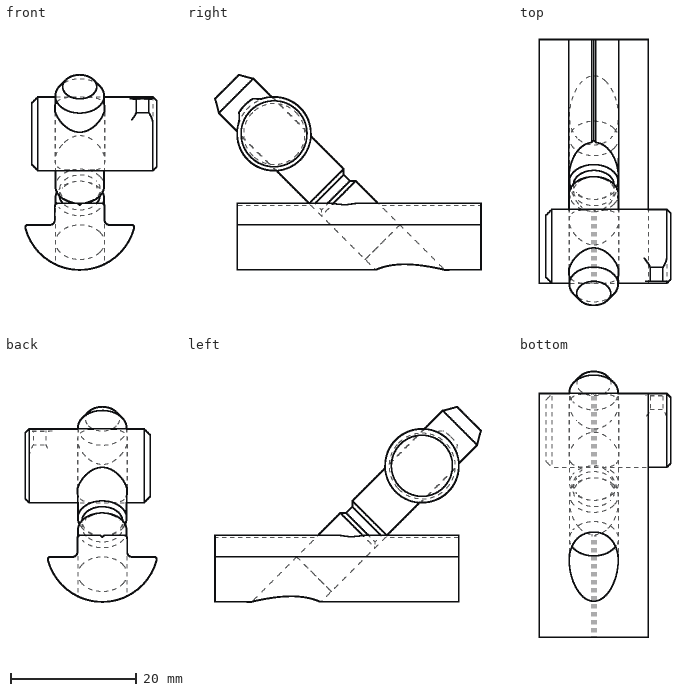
import cadquery as cq
import math

rail_length = 38.97
rail_height = 10.65
shoulder_height = 7.22
web_width = 8.0
belly_radius = 9.0
shoulder_round = 0.42
web_root_fillet = 0.72
web_top_fillet = 0.5
mark_half_width = 0.35
mark_depth = 0.3

barrel_diameter = 11.8
barrel_start = -7.7
barrel_length = 20.0
barrel_height = 21.75
start_chamfer = 1.0
end_chamfer = 0.65
barrel_radius = barrel_diameter / 2
barrel_end = barrel_start + barrel_length
barrel_y = barrel_radius

lug_rise = 0.65
lug_top_half_angle = 14
lug_base_half_angle = 30
lug_top_start = 9.05
lug_base_start = 7.78

screw_tilt = 45
screw_diameter = 7.8
barrel_bore_diameter = 8.0
neck_diameter = 6.5
tip_diameter = 5.45
tip_station = 10.62
tip_taper_station = 8.6
neck_top_station = -12.5
neck_bottom_station = -13.9
anchor_bottom_station = -24.45
bore_reach = 38.25

screw_radius = screw_diameter / 2
neck_radius = neck_diameter / 2
neck_chamfer = screw_radius - neck_radius
joint_station = neck_top_station + neck_chamfer


def tilt_to_screw_axis(shape):
    """Move a shape built along Z about the origin onto the screw axis."""
    tilted = shape.rotate((0, 0, 0), (1, 0, 0), screw_tilt)
    return tilted.translate((0, barrel_y, barrel_height))


def make_bore(diameter, bottom, top):
    """Cutting cylinder along the screw axis between two stations."""
    cylinder = cq.Workplane("XY").workplane(offset=bottom).circle(diameter / 2).extrude(top - bottom)
    return tilt_to_screw_axis(cylinder)


def make_rail():
    half_web = web_width / 2
    tip_x = math.sqrt(belly_radius**2 - (belly_radius - shoulder_height) ** 2)
    rail = (
        cq.Workplane("XZ")
        .moveTo(-tip_x, shoulder_height)
        .threePointArc((0, 0), (tip_x, shoulder_height))
        .lineTo(half_web, shoulder_height)
        .lineTo(half_web, rail_height)
        .lineTo(mark_half_width, rail_height)
        .lineTo(0, rail_height - mark_depth)
        .lineTo(-mark_half_width, rail_height)
        .lineTo(-half_web, rail_height)
        .lineTo(-half_web, shoulder_height)
        .close()
        .extrude(-rail_length)
    )
    middle = rail_length / 2
    for side in (-1, 1):
        for x, z, radius in (
            (tip_x, shoulder_height, shoulder_round),
            (half_web, shoulder_height, web_root_fillet),
            (half_web, rail_height, web_top_fillet),
        ):
            edge = cq.selectors.NearestToPointSelector((side * x, middle, z))
            rail = rail.edges("|Y").edges(edge).fillet(radius)
    return rail.cut(make_bore(screw_diameter, -bore_reach, 0))


def polar_point(radius, angle):
    """Point in the YZ plane at an angle from +Z, turning toward +Y."""
    turn = math.radians(angle)
    return (radius * math.sin(turn), radius * math.cos(turn))


def make_lug():
    """Lug with concave flanks that run out tangent to the barrel surface."""
    top_radius = barrel_radius + lug_rise
    root_radius = barrel_radius / 2

    flank_run = lug_top_start - lug_base_start
    flank_radius = (flank_run**2 + lug_rise**2) / (2 * lug_rise)
    flank_angle = math.asin(flank_run / flank_radius) / 2
    flank_middle = (
        lug_base_start + flank_radius * math.sin(flank_angle),
        barrel_radius + flank_radius * (1 - math.cos(flank_angle)),
    )
    turned = (
        cq.Workplane("XZ")
        .moveTo(lug_base_start, root_radius)
        .lineTo(lug_base_start, barrel_radius)
        .threePointArc(flank_middle, (lug_top_start, top_radius))
        .lineTo(barrel_end, top_radius)
        .lineTo(barrel_end, root_radius)
        .close()
        .revolve(360, (0, 0, 0), (1, 0, 0))
    )

    base_right = polar_point(barrel_radius, lug_base_half_angle)
    base_left = polar_point(barrel_radius, -lug_base_half_angle)
    top_right = polar_point(top_radius, lug_top_half_angle)
    top_left = polar_point(top_radius, -lug_top_half_angle)
    tangent = cq.Vector(*polar_point(1, lug_base_half_angle - 90))
    flank_mid = cq.Edge.makeTangentArc(cq.Vector(*base_right), tangent, cq.Vector(*top_right)).positionAt(0.5)
    wedge = (
        cq.Workplane("YZ")
        .workplane(offset=lug_base_start)
        .moveTo(0, 0)
        .lineTo(*base_right)
        .threePointArc((flank_mid.x, flank_mid.y), top_right)
        .threePointArc((0, top_radius), top_left)
        .threePointArc((-flank_mid.x, flank_mid.y), base_left)
        .close()
        .extrude(barrel_end - lug_base_start)
    )
    return tilt_to_screw_axis(turned.intersect(wedge))


def make_end_bevel():
    """Ring that cuts one 45-degree bevel across the barrel end and the lug."""
    inner_radius = barrel_radius - end_chamfer
    bevel_size = end_chamfer + 2 * lug_rise
    ring = (
        cq.Workplane("XZ")
        .moveTo(barrel_end, inner_radius)
        .lineTo(barrel_end, inner_radius + bevel_size)
        .lineTo(barrel_end - bevel_size, inner_radius + bevel_size)
        .close()
        .revolve(360, (0, 0, 0), (1, 0, 0))
    )
    return tilt_to_screw_axis(ring)


def make_barrel():
    barrel = (
        cq.Workplane("YZ")
        .workplane(offset=barrel_start)
        .center(barrel_y, barrel_height)
        .circle(barrel_radius)
        .extrude(barrel_length)
    )
    barrel = barrel.faces("<X").chamfer(start_chamfer)
    barrel = barrel.union(make_lug()).cut(make_end_bevel())
    return barrel.cut(make_bore(barrel_bore_diameter, -bore_reach, bore_reach))


def turn_about_screw_axis(outline):
    """Solid of revolution from (radius, station) points that start and end on the axis."""
    profile = cq.Workplane("XZ").polyline(outline).close()
    return tilt_to_screw_axis(profile.revolve(360, (0, 0, 0), (0, 1, 0)))


def make_rod():
    return turn_about_screw_axis([
        (0, joint_station),
        (screw_radius, joint_station),
        (screw_radius, tip_taper_station),
        (tip_diameter / 2, tip_station),
        (0, tip_station),
    ])


def make_anchor():
    return turn_about_screw_axis([
        (0, anchor_bottom_station),
        (screw_radius, anchor_bottom_station),
        (screw_radius, neck_bottom_station - neck_chamfer),
        (neck_radius, neck_bottom_station),
        (neck_radius, neck_top_station),
        (screw_radius, joint_station),
        (0, joint_station),
    ])


rail = make_rail()
barrel = make_barrel()
rod = make_rod()
anchor = make_anchor()

result = cq.Compound.makeCompound([rail.val(), barrel.val(), rod.val(), anchor.val()])